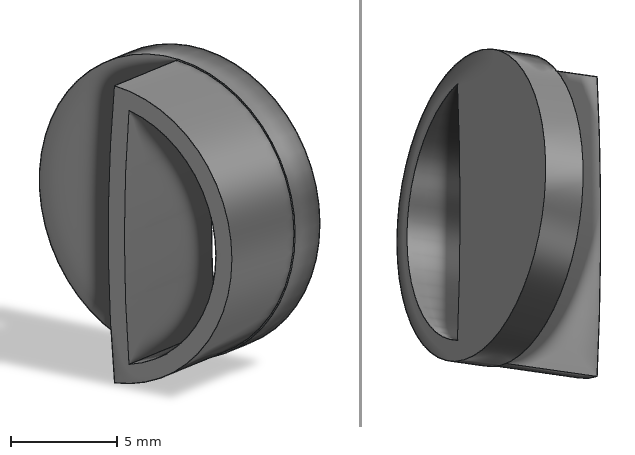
import cadquery as cq
import math

disc_radius = 7.4
disc_thickness = 2.0
total_depth = 7.0
collar_radius = 7.33
wall = 0.93
bow_left = 0.18
bow_radius = 74.74

bow_center_x = bow_left + bow_radius


def d_prism(inset, depth):
    """D-shaped prism from Y = 0 toward -Y, its outline offset inward by inset."""
    round_radius = collar_radius - inset
    flat_radius = bow_radius - inset
    corner_x = (round_radius**2 - flat_radius**2 + bow_center_x**2) / (2 * bow_center_x)
    corner_z = math.sqrt(round_radius**2 - corner_x**2)
    return (
        cq.Workplane("XZ")
        .moveTo(corner_x, -corner_z)
        .threePointArc((round_radius, 0), (corner_x, corner_z))
        .threePointArc((bow_left + inset, 0), (corner_x, -corner_z))
        .close()
        .extrude(depth)
    )


disc = cq.Workplane("XZ").circle(disc_radius).extrude(disc_thickness)
body = disc.union(d_prism(0, total_depth))

result = body.cut(d_prism(wall, total_depth))